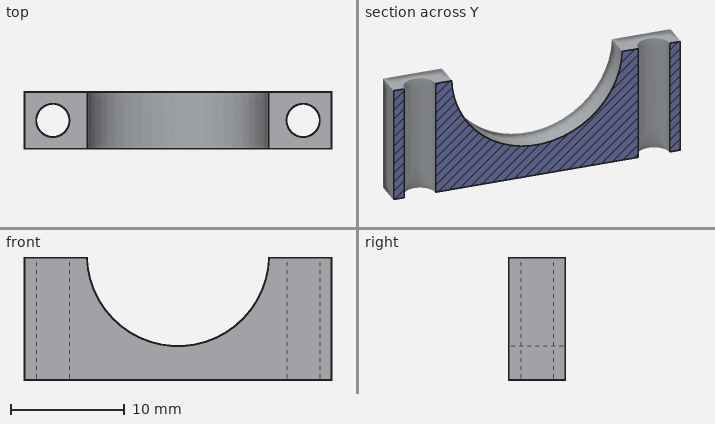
import cadquery as cq

length = 27.02
width = 5.0
height = 10.76

saddle_radius = 8.0
floor_thickness = 3.0
saddle_axis_height = floor_thickness + saddle_radius

hole_diameter = 2.9
hole_spacing = 22.0


def make_block():
    """Block centred on X and Y, standing on Z = 0."""
    return cq.Workplane("XY").box(length, width, height, centered=(True, True, False))


def make_saddle_cutter():
    """Cylinder along Y that hollows out the saddle."""
    return (
        cq.Workplane("XZ")
        .center(0, saddle_axis_height)
        .circle(saddle_radius)
        .extrude(width / 2, both=True)
    )


def make_screw_holes():
    """Pair of cylinders along Z that pass through the whole block."""
    return (
        cq.Workplane("XY")
        .pushPoints([(-hole_spacing / 2, 0), (hole_spacing / 2, 0)])
        .circle(hole_diameter / 2)
        .extrude(height)
    )


result = make_block().cut(make_saddle_cutter()).cut(make_screw_holes())